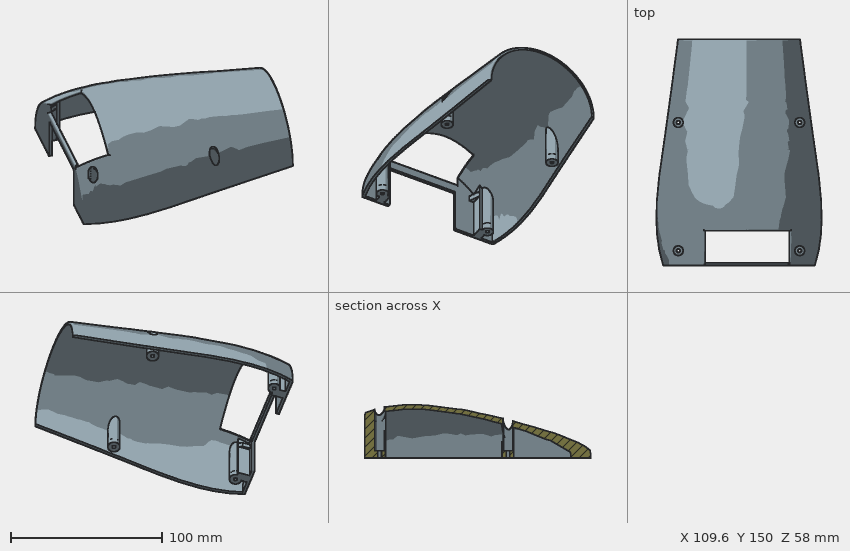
import cadquery as cq
import math

LENGTH = 150.0
WALL = 2.0

SECTIONS = [
    (0.0, 50.2, 50.2, 0.0),
    (30.0, 54.8, 57.99, 2.5),
    (60.0, 52.8, 55.9, 2.0),
    (90.0, 48.5, 51.8, 1.3),
    (120.0, 44.4, 46.2, 0.6),
    (LENGTH, 40.4, 40.4, 0.0),
]
SECTION_STEPS = 8
RIM_FILLET = 1.0

DOOR_LEFT = -20.2
DOOR_RIGHT = 29.8
DOOR_HEIGHT = 31.3
DOOR_CORNER = 1.0

WINDOW_LEFT = -22.2
WINDOW_RIGHT = 33.2
SILL_HEIGHT = 37.6
WINDOW_BACK = 23.0
NOTCH_BOTTOM = 20.0
WINDOW_FILLET = 1.0
SILL_FILLET = 2.0

SCREW_X = 40.2
SCREW_FRONT_Y = 9.9
SCREW_REAR_Y = 94.8
POST_DIAMETER = 8.0
HEAD_DIAMETER = 6.4
SCREW_DIAMETER = 2.2
SEAT_HEIGHT = 5.0

BLOCK_INNER_X = 34.3
GUSSET_INNER_X = 30.6
GUSSET_BOTTOM = 28.0
GUSSET_TOP = 32.0

TALL = 100.0
NEAR = 0.1


def section_wire(y, half_width, crown, squeeze, inset):
    """Closed half-round outline at station y, shrunk by inset."""
    points = []
    for i in range(SECTION_STEPS + 1):
        angle = math.pi * i / SECTION_STEPS
        rise = math.sin(angle)
        shoulder = abs(math.sin(2 * angle))
        radius = half_width + (crown - half_width) * rise**2 - squeeze * shoulder - inset
        points.append(cq.Vector(radius * math.cos(angle), y, radius * rise))
    arch = cq.Edge.makeSpline(points)
    base = cq.Edge.makeLine(points[-1], points[0])
    return cq.Wire.assembleEdges([arch, base])


def skin_solid(inset):
    """Solid bounded by the lofted skin, shrunk by inset."""
    wires = [section_wire(*section, inset) for section in SECTIONS]
    return cq.Workplane(obj=cq.Solid.makeLoft(wires))


def box(x0, x1, y0, y1, z0, z1):
    return cq.Workplane(obj=cq.Solid.makeBox(x1 - x0, y1 - y0, z1 - z0, cq.Vector(x0, y0, z0)))


def column(x, y, diameter, z0):
    """Vertical cylinder reaching up from z0 past the crown."""
    return cq.Workplane("XY", origin=(x, y, z0)).circle(diameter / 2).extrude(TALL)


def post_block(side):
    """Block and gusset beside one front post; side is +1 or -1."""
    block = box(BLOCK_INNER_X, SCREW_X, WALL / 2, SCREW_FRONT_Y, 0, TALL)
    gusset = (
        cq.Workplane("XY", origin=(0, 0, GUSSET_BOTTOM))
        .moveTo(GUSSET_INNER_X, WALL / 2)
        .lineTo(BLOCK_INNER_X, SCREW_FRONT_Y)
        .lineTo(SCREW_X, SCREW_FRONT_Y)
        .lineTo(SCREW_X, WALL / 2)
        .close()
        .extrude(GUSSET_TOP - GUSSET_BOTTOM)
    )
    tied = block.union(gusset)
    return tied if side > 0 else tied.mirror("YZ")


def edges_in(x0, x1, y0, y1, z0, z1):
    """Selector for edges whose centre lies in the given box."""
    return cq.selectors.BoxSelector((x0, y0, z0), (x1, y1, z1))


def round_end(body, y):
    """Round the arched outer edge of the end face at y."""
    return body.edges(edges_in(-TALL, TALL, y - NEAR, y + NEAR, NEAR, TALL)).fillet(RIM_FILLET)


def notched_skin():
    """Solid skin with a deep notch whose edges are rounded."""
    notch = box(WINDOW_LEFT, WINDOW_RIGHT, -TALL, WINDOW_BACK, NOTCH_BOTTOM, TALL)
    body = skin_solid(0.0).cut(notch)
    left, right = WINDOW_LEFT, WINDOW_RIGHT
    left_side = edges_in(left - NEAR, left + NEAR, NEAR, WINDOW_BACK - NEAR, SILL_HEIGHT, TALL)
    right_side = edges_in(right - NEAR, right + NEAR, NEAR, WINDOW_BACK - NEAR, SILL_HEIGHT, TALL)
    back = edges_in(left + NEAR, right - NEAR, WINDOW_BACK - NEAR, WINDOW_BACK + NEAR, SILL_HEIGHT, TALL)
    return body.edges(left_side + right_side + back).fillet(WINDOW_FILLET)


def sill_bar():
    """Bar refilling the front wall up to the sill, its ends buried in the skin."""
    bury = 2 * WALL
    bar = box(WINDOW_LEFT - 1, WINDOW_RIGHT + bury, 0, WALL, NOTCH_BOTTOM - 1, SILL_HEIGHT)
    return bar.intersect(skin_solid(RIM_FILLET))


def sill_rounding():
    """Cutter that rounds the front edges of the sill and the left jamb, meeting in a mitre."""
    x0 = WINDOW_LEFT - SILL_FILLET
    z0 = SILL_HEIGHT - SILL_FILLET
    plate = box(x0, WINDOW_RIGHT, -1, SILL_FILLET, z0, TALL)
    jamb_round = cq.Workplane("XY", origin=(x0, SILL_FILLET, 0)).circle(SILL_FILLET).extrude(TALL)
    sill_round = (
        cq.Workplane("YZ", origin=(-TALL, SILL_FILLET, z0)).circle(SILL_FILLET).extrude(2 * TALL)
    )
    return plate.cut(jamb_round).cut(sill_round)


def cut_door(body):
    """Opening in the front wall with rounded corners and feet."""
    door = box(DOOR_LEFT, DOOR_RIGHT, -TALL, 2 * WALL, -TALL, DOOR_HEIGHT)
    door = door.edges("|Y and >Z").fillet(DOOR_CORNER)
    body = body.cut(door)
    left_foot = edges_in(DOOR_LEFT - NEAR, DOOR_LEFT + NEAR, NEAR, WALL, -NEAR, NEAR)
    right_foot = edges_in(DOOR_RIGHT - NEAR, DOOR_RIGHT + NEAR, NEAR, WALL, -NEAR, NEAR)
    return body.edges(left_foot + right_foot).fillet(DOOR_CORNER)


def add_screw_posts(body, envelope):
    """Posts inside the skin with head recesses sunk from above."""
    for y in (SCREW_FRONT_Y, SCREW_REAR_Y):
        for side in (-1, 1):
            x = SCREW_X * side
            post = column(x, y, POST_DIAMETER, 0)
            if y == SCREW_FRONT_Y:
                post = post.union(post_block(side))
            body = body.union(post.intersect(envelope))
            body = body.cut(column(x, y, HEAD_DIAMETER, SEAT_HEIGHT))
            body = body.cut(column(x, y, SCREW_DIAMETER, -1))
    return body


outer = round_end(round_end(notched_skin(), 0.0), LENGTH)

hollow = skin_solid(WALL).intersect(box(-TALL, TALL, WALL, LENGTH, 0, TALL))
shell = outer.cut(hollow).union(sill_bar()).cut(sill_rounding())

result = add_screw_posts(cut_door(shell), outer)